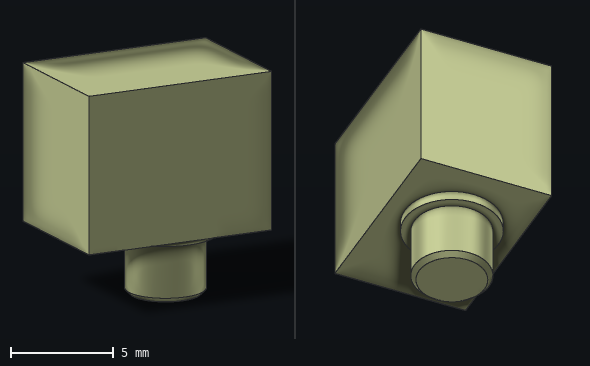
import cadquery as cq

body_width = 7.0
body_depth = 10.0
body_height = 8.0

total_height = 11.5
collar_diameter = 5.0
collar_height = 0.5
pin_diameter = 4.0
pin_height = total_height - body_height - collar_height
pin_chamfer = 0.25
pin_offset_y = 1.0


def make_body():
    """Block whose underside is centred on the origin."""
    return cq.Workplane("XY").box(
        body_width, body_depth, body_height, centered=(True, True, False)
    )


def make_cylinder_below(diameter, height, top_z):
    """Vertical cylinder on the pin axis, hanging down from top_z."""
    return (
        cq.Workplane("XY", origin=(0, pin_offset_y, top_z))
        .circle(diameter / 2)
        .extrude(-height)
    )


collar = make_cylinder_below(collar_diameter, collar_height, 0)
pin = make_cylinder_below(pin_diameter, pin_height, -collar_height)
pin = pin.faces("<Z").chamfer(pin_chamfer)

result = make_body().union(collar).union(pin)